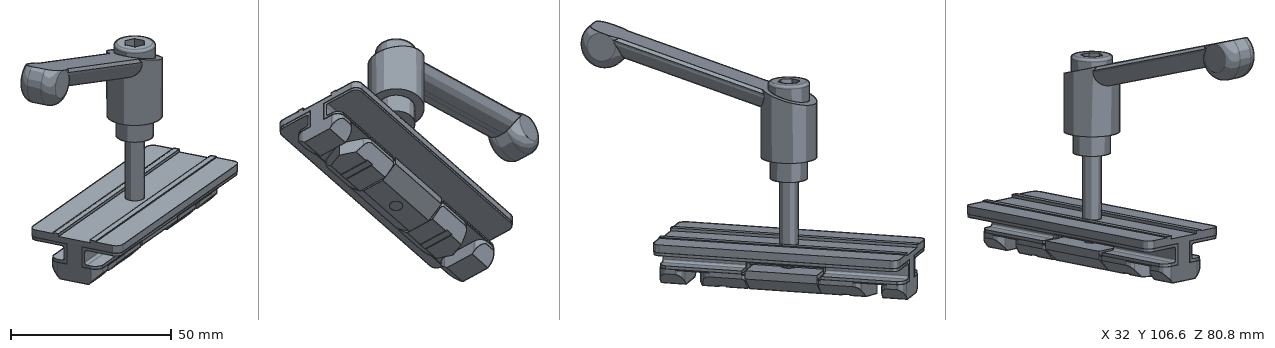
import cadquery as cq
import math

overall_length = 106.6

plate_length = 80.0
plate_width = 32.0
plate_corner_radius = 2.5
plate_top = 15.1
rib_top = 15.5
rib_outer = 7.6
groove_half_width = 5.5
groove_floor = 14.5
core_half_width = 2.7
flange_top = 5.8
flange_half_width = 8.9
flange_corner_radius = 3.1
flange_corner_trim = 0.1
flange_bottom = 0.3

lining_thickness = 1.0
lining_inset = 0.1
lining_fillet = 0.9
plate_bottom = 12.6
lining_half_width = core_half_width + lining_thickness

window_top = 5.4
window_outer = 32.0
window_inner = 28.7
chamfer_top = 4.2
block_chamfer = chamfer_top - flange_bottom
block_shoulder = 25.1
block_shoulder_radius = 2.5
block_notch_radius = 1.0
foot_groove_width = 2.6
foot_groove_depth = 0.3
foot_groove_place = 20.0

nut_slot_half_length = 11.9
nut_slot_top = 7.6
lining_clearance = 1.0
lining_slot_top = 8.2

nut_half_length = 11.6
nut_half_width = 8.9
nut_top = 6.9
nut_chamfer_top = 4.3
nut_foot_half_width = 3.8

stud_diameter = 6.0
stud_end_diameter = 4.2
collar_diameter = 11.7
collar_bottom = 35.4
hub_diameter = 17.5
hub_bottom = 42.2
cap_diameter = 13.0
cap_top = 66.5
cap_fillet = 1.0
socket_flats = 6.0
socket_depth = 3.2

lever_tilt = 16.0
lever_plane_height = 62.5
bar_width = 12.0
bar_depth = 6.6
bar_bottom_radius = 5.2
bar_chamfer = 1.0
knob_radius = 7.4
knob_flat_width = 4.8
knob_rounding = 3.7
knob_y = plate_length / 2 - overall_length + knob_radius
knob_z = 74.9

cut_size = 2 * overall_length
pick_margin = 0.1


def box_between(x0, x1, y0, y1, z0, z1):
    """Box spanning the given limits."""
    return cq.Workplane("XY").box(x1 - x0, y1 - y0, z1 - z0, centered=False).translate((x0, y0, z0))


def slab(half_width, half_length, z0, z1):
    """Box centred on the Z axis."""
    return box_between(-half_width, half_width, -half_length, half_length, z0, z1)


def rod(diameter, z0, z1):
    """Upright cylinder on the Z axis."""
    return cq.Workplane("XY").workplane(offset=z0).circle(diameter / 2).extrude(z1 - z0)


def flange_slab(half_width, half_length, z0, z1):
    """Slab whose round corners run out just past its long sides, leaving a faint edge there."""
    rounded = slab(half_width + flange_corner_trim, half_length, z0, z1)
    rounded = rounded.edges("|Z").fillet(flange_corner_radius)
    return rounded.intersect(slab(half_width, half_length, z0, z1))


def make_plate():
    """Top plate with two ribs beside a shallow central groove."""
    half_length = plate_length / 2
    plate = slab(plate_width / 2, half_length, plate_bottom, plate_top)
    plate = plate.edges("|Z").fillet(plate_corner_radius)
    ribs = slab(rib_outer, half_length, plate_bottom, rib_top)
    groove = slab(groove_half_width, half_length, groove_floor, rib_top)
    return plate.union(ribs).cut(groove)


def make_end_block():
    """Bevelled block with rounded corners at the +Y end of the flange."""
    block_length = plate_length / 2 - window_outer
    plan = flange_slab(flange_half_width, block_length / 2, flange_bottom, window_top)
    section = slab(flange_half_width, block_length / 2, flange_bottom, window_top)
    section = section.faces("<Z").edges("|Y").chamfer(block_chamfer)
    return plan.intersect(section).translate((0, window_outer + block_length / 2, 0))


def make_foot():
    """Flange under the core, standing on three blocks with windows between them."""
    bridge = flange_slab(flange_half_width, plate_length / 2, window_top, flange_top)
    end_block = make_end_block()
    foot = bridge.union(end_block).union(end_block.mirror("XZ"))
    return foot.union(make_middle_block())


def make_middle_block():
    """Middle part of the flange: pointed at both ends, split by the nut slot."""
    outline = [
        (-flange_half_width, nut_slot_half_length),
        (flange_half_width, nut_slot_half_length),
        (flange_half_width, block_shoulder),
        (0, window_inner),
        (-flange_half_width, block_shoulder),
    ]
    plan = cq.Workplane("XY").polyline(outline).close().extrude(window_top)
    plan = plan.edges("|Z and (>X or <X)").edges(">Y").fillet(block_shoulder_radius)
    plan = plan.edges("|Z").edges("<Y").fillet(block_notch_radius)
    section = slab(flange_half_width, plate_length / 2, flange_bottom, window_top)
    section = section.faces("<Z").edges("|Y").chamfer(block_chamfer)
    half = section.intersect(plan)
    foot_groove = box_between(
        -flange_half_width, flange_half_width,
        foot_groove_place - foot_groove_width / 2, foot_groove_place + foot_groove_width / 2,
        flange_bottom, flange_bottom + foot_groove_depth,
    )
    half = half.cut(foot_groove)
    return half.union(half.mirror("XZ"))


def make_lining():
    """Raised layer on the plate underside, the core sides and the flange top."""
    half_length = plate_length / 2 - lining_inset
    upper_face = plate_bottom - lining_thickness
    lower_face = flange_top + lining_thickness
    upper = slab(plate_width / 2 - lining_inset, half_length, upper_face, plate_bottom)
    lower = flange_slab(flange_half_width - lining_inset, half_length, flange_top, lower_face)
    upper = upper.edges("|Z").fillet(plate_corner_radius)
    lining = upper.union(lower).union(slab(lining_half_width, half_length, flange_top, plate_bottom))
    inner_corners = cq.selectors.BoxSelector(
        (-lining_half_width - pick_margin, -pick_margin, lower_face - pick_margin),
        (lining_half_width + pick_margin, pick_margin, upper_face + pick_margin),
    )
    lining = lining.edges("|Y").edges(inner_corners).fillet(lining_fillet)
    clearance_half_length = nut_slot_half_length + lining_clearance
    return lining.cut(slab(plate_width / 2, clearance_half_length, flange_top, lining_slot_top))


def make_carriage():
    """Complete slide with the nut slot across it and the stud hole through it."""
    core = slab(core_half_width, plate_length / 2, flange_top, plate_bottom)
    carriage = make_plate().union(core).union(make_foot()).union(make_lining())
    nut_slot = slab(plate_width / 2, nut_slot_half_length, 0, nut_slot_top)
    return carriage.cut(nut_slot).cut(rod(stud_diameter, 0, rib_top))


def make_nut():
    """Bar with bevelled lower sides and a hole for the stud end."""
    outline = [
        (-nut_foot_half_width, 0),
        (nut_foot_half_width, 0),
        (nut_half_width, nut_chamfer_top),
        (nut_half_width, nut_top),
        (-nut_half_width, nut_top),
        (-nut_half_width, nut_chamfer_top),
    ]
    nut = cq.Workplane("XZ").polyline(outline).close().extrude(nut_half_length, both=True)
    return nut.cut(rod(stud_end_diameter, 0, nut_top))


def on_lever_plane(solid):
    """Move a shape from the XY plane onto the tilted top plane of the lever."""
    return solid.rotate((0, 0, 0), (1, 0, 0), -lever_tilt).translate((0, 0, lever_plane_height))


def make_bar():
    """Tilted bar with rounded lower edges and bevelled upper edges, running to the knob."""
    length = -knob_y / math.cos(math.radians(lever_tilt))
    bar = box_between(-bar_width / 2, bar_width / 2, -length, 0, -bar_depth, 0)
    bar = bar.edges("|Y and <Z").fillet(bar_bottom_radius)
    bar = bar.edges("|Y and >Z").chamfer(bar_chamfer)
    return on_lever_plane(bar)


def make_knob():
    """Crosswise drum with rounded rims, trimmed flush with the sides of the bar."""
    drum_half_width = knob_flat_width / 2 + knob_rounding
    drum = cq.Workplane("YZ").center(knob_y, knob_z).circle(knob_radius).extrude(drum_half_width, both=True)
    drum = drum.edges("%CIRCLE").fillet(knob_rounding)
    return drum.intersect(slab(bar_width / 2, cut_size / 2, 0, cut_size))


def make_lever():
    """Hub cut along the lever plane, with bar, knob, socket cap, collar and stepped stud."""
    above_plane = on_lever_plane(slab(cut_size / 2, cut_size / 2, 0, cut_size))
    hub = rod(hub_diameter, hub_bottom, cap_top + hub_diameter)
    lever = hub.union(make_bar()).union(make_knob()).cut(above_plane)
    cap = rod(cap_diameter, hub_bottom, cap_top).faces(">Z").fillet(cap_fillet)
    socket = (
        cq.Workplane("XY").workplane(offset=cap_top - socket_depth)
        .polygon(6, socket_flats / math.cos(math.pi / 6)).extrude(socket_depth)
    )
    lever = lever.union(cap).cut(socket)
    lever = lever.union(rod(collar_diameter, collar_bottom, hub_bottom))
    lever = lever.union(rod(stud_diameter, nut_slot_top, collar_bottom))
    return lever.union(rod(stud_end_diameter, 0, nut_slot_top))


carriage = make_carriage()
nut = make_nut()
lever = make_lever()

result = cq.Compound.makeCompound([carriage.val(), nut.val(), lever.val()])